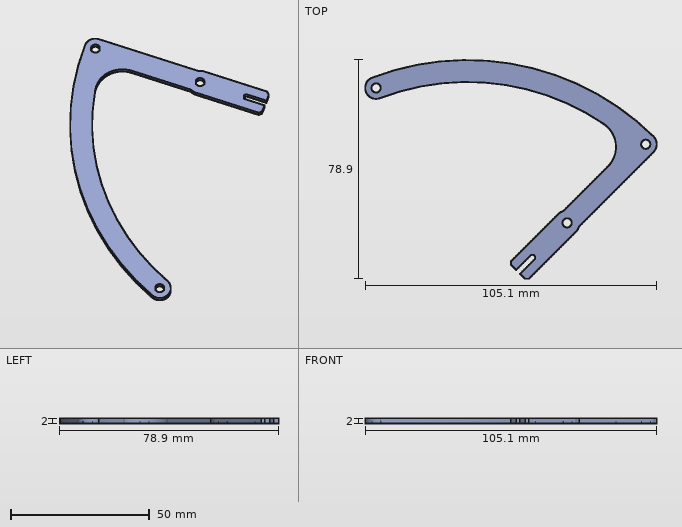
import cadquery as cq
import math

thickness = 2.0
hole_diameter = 3.3
half_width = 4.0
inner_corner_radius = 10.0

arm_end = (-97.1, 20.3)
arm_radius = 91.4

leg_direction = 225.0
pivot_distance = 40.0
leg_length = 65.0
fork_half_width = 4.5
tip_chamfer = 0.9
slot_width = 2.0
slot_depth = 8.3

chord = math.hypot(*arm_end)
centre_offset = math.sqrt(arm_radius**2 - (chord / 2) ** 2)
arm_centre = (
    arm_end[0] / 2 - centre_offset * arm_end[1] / chord,
    arm_end[1] / 2 + centre_offset * arm_end[0] / chord,
)
start_angle = math.atan2(arm_end[1] - arm_centre[1], arm_end[0] - arm_centre[0])
finish_angle = math.atan2(-arm_centre[1], -arm_centre[0])
middle_angle = (start_angle + finish_angle) / 2


def arm_point(radius, angle):
    """Point at a polar position about the centre of the arm."""
    return (
        arm_centre[0] + radius * math.cos(angle),
        arm_centre[1] + radius * math.sin(angle),
    )


def disc(centre, radius):
    return cq.Workplane("XY").center(*centre).circle(radius).extrude(thickness)


def leg_block(start, finish, width):
    """Bar along +X, before the leg is turned to its direction."""
    length = finish - start
    return cq.Workplane("XY").center(start + length / 2, 0).rect(length, width).extrude(thickness)


def make_arm():
    outer = arm_radius + half_width
    inner = arm_radius - half_width
    band = (
        cq.Workplane("XY")
        .moveTo(*arm_point(outer, start_angle))
        .threePointArc(arm_point(outer, middle_angle), arm_point(outer, finish_angle))
        .lineTo(*arm_point(inner, finish_angle))
        .threePointArc(arm_point(inner, middle_angle), arm_point(inner, start_angle))
        .close()
        .extrude(thickness)
    )
    return band.union(disc(arm_end, half_width)).union(disc((0, 0), half_width))


def make_leg():
    """Narrow bar, rounded shoulder at the pivot and slotted fork."""
    fork = leg_block(pivot_distance, leg_length, 2 * fork_half_width)
    fork = fork.edges("|Z and >X").chamfer(tip_chamfer)
    slot_end = leg_length - slot_depth + slot_width / 2
    slot = leg_block(slot_end, leg_length, slot_width).union(disc((slot_end, 0), slot_width / 2))
    leg = (
        leg_block(0, pivot_distance, 2 * half_width)
        .union(disc((pivot_distance, 0), fork_half_width))
        .union(fork)
        .cut(slot)
    )
    return leg.rotate((0, 0, 0), (0, 0, 1), leg_direction)


def round_inner_corner(body):
    """Fillet the vertical edge where the arm's inner arc meets the leg's inner side."""
    leg_angle = math.radians(leg_direction)
    along = (math.cos(leg_angle), math.sin(leg_angle))
    side = (along[1], -along[0])
    centre_along = arm_centre[0] * along[0] + arm_centre[1] * along[1]
    centre_side = arm_centre[0] * side[0] + arm_centre[1] * side[1]
    inner = arm_radius - half_width
    corner_along = centre_along - math.sqrt(inner**2 - (half_width - centre_side) ** 2)
    corner = (
        corner_along * along[0] + half_width * side[0],
        corner_along * along[1] + half_width * side[1],
        thickness / 2,
    )
    edge = body.edges(cq.selectors.NearestToPointSelector(corner))
    return edge.fillet(inner_corner_radius)


result = round_inner_corner(make_arm().union(make_leg()))

pivot_angle = math.radians(leg_direction)
pivot = (pivot_distance * math.cos(pivot_angle), pivot_distance * math.sin(pivot_angle))
for hole in (arm_end, (0, 0), pivot):
    result = result.cut(disc(hole, hole_diameter / 2))